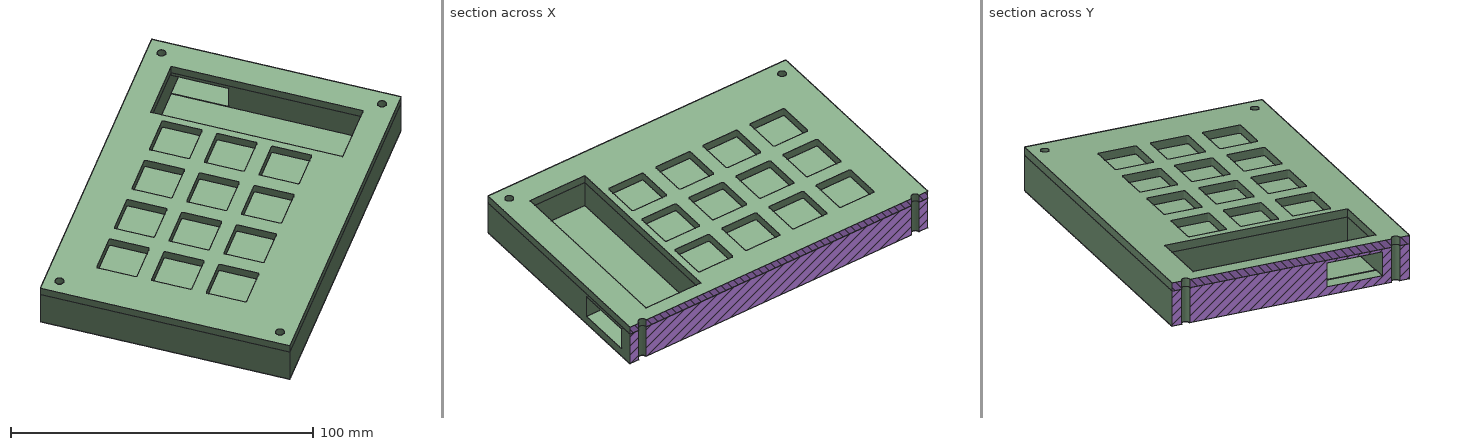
import cadquery as cq

length = 120.5
width = 86.8
total_height = 16.0
lid_thickness = 3.0
base_height = total_height - lid_thickness

screw_diameter = 2.9
screw_margin = 5.1

display_margin = 10.0
display_width = width - 2 * display_margin
display_length = 22.2
display_left = display_margin
display_front = length - display_margin - display_length
floor_thickness = 3.0

port_width = 20.0
port_top_wall = 1.2
port_sill = 0.2
port_bottom = floor_thickness + port_sill
port_height = base_height - port_top_wall - port_bottom

key_columns = 3
key_rows = 4
key_size = 14.0
key_pitch = 19.0
key_left = 14.8
key_front = 14.7
key_corner_radius = 0.5


def block(x, y, z, size_x, size_y, size_z):
    """Box placed by its lower left front corner."""
    return cq.Workplane("XY").box(size_x, size_y, size_z, centered=False).translate((x, y, z))


def screw_holes():
    """Four vertical cylinders reaching through the whole enclosure."""
    corners = [
        (x, y)
        for x in (screw_margin, width - screw_margin)
        for y in (screw_margin, length - screw_margin)
    ]
    return cq.Workplane("XY").pushPoints(corners).circle(screw_diameter / 2).extrude(total_height)


def display_opening(bottom, top):
    """Upright block with the display outline between two heights."""
    return block(display_left, display_front, bottom, display_width, display_length, top - bottom)


def key_opening(column, row):
    """Square opening with rounded upright corners, as deep as the lid."""
    x = key_left + column * key_pitch
    y = key_front + row * key_pitch
    opening = block(x, y, base_height, key_size, key_size, lid_thickness)
    return opening.edges("|Z").fillet(key_corner_radius)


def cable_port():
    """Block through the back wall, its floor a low sill above the cavity floor."""
    back_of_cavity = display_front + display_length
    return block(display_left, back_of_cavity, port_bottom, port_width, display_margin, port_height)


def make_base():
    base = block(0, 0, 0, width, length, base_height)
    base = base.cut(display_opening(floor_thickness, base_height))
    base = base.cut(cable_port())
    return base.cut(screw_holes())


def make_lid():
    lid = block(0, 0, base_height, width, length, lid_thickness)
    lid = lid.cut(display_opening(base_height, total_height))
    for column in range(key_columns):
        for row in range(key_rows):
            lid = lid.cut(key_opening(column, row))
    return lid.cut(screw_holes())


base = make_base()
lid = make_lid()
result = cq.Compound.makeCompound([base.val(), lid.val()])